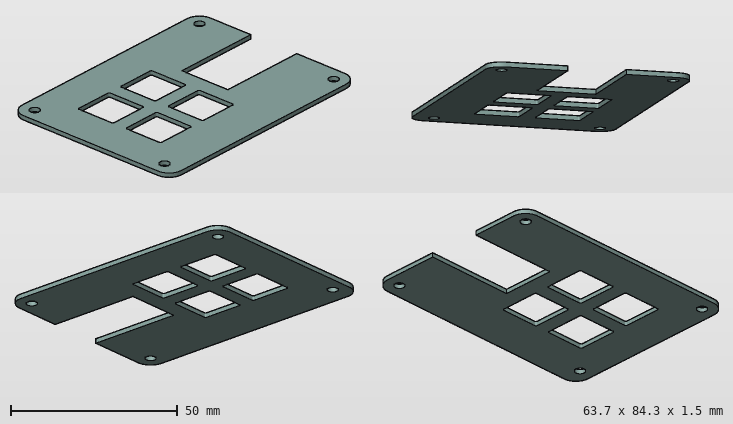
import cadquery as cq

width = 63.7
length = 84.3
thickness = 1.5
corner_radius = 5.0

slot_left = -10.7
slot_right = 7.7
slot_floor = 11.05

window_size = 14.0
window_pitch = 19.05
window_corner_radius = 0.5
grid_center = (-1.2, -11.5)

hole_diameter = 3.4
hole_x = width / 2 - corner_radius
hole_y = length / 2 - corner_radius
shifted_hole_inset = 1.8
hole_centers = [
    (-hole_x, hole_y),
    (hole_x, hole_y),
    (-hole_x, -hole_y),
    (hole_x - shifted_hole_inset, -hole_y),
]


def make_plate():
    plate = cq.Workplane("XY").rect(width, length).extrude(thickness)
    return plate.edges("|Z").fillet(corner_radius)


def make_slot():
    slot_width = slot_right - slot_left
    slot_depth = length / 2 - slot_floor
    slot = cq.Workplane("XY").rect(slot_width, slot_depth, centered=False).extrude(thickness)
    return slot.translate((slot_left, slot_floor, 0))


def make_windows():
    windows = (
        cq.Workplane("XY")
        .center(*grid_center)
        .rarray(window_pitch, window_pitch, 2, 2)
        .rect(window_size, window_size)
        .extrude(thickness)
    )
    return windows.edges("|Z").fillet(window_corner_radius)


def make_holes():
    return cq.Workplane("XY").pushPoints(hole_centers).circle(hole_diameter / 2).extrude(thickness)


result = make_plate().cut(make_slot()).cut(make_windows()).cut(make_holes())